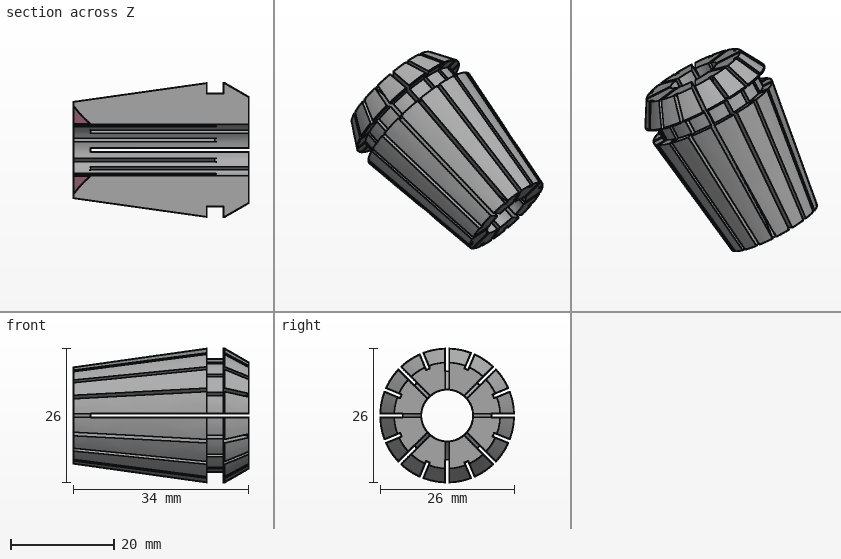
import cadquery as cq
import math

length = 34.0
max_radius = 13.0
bore_radius = 5.0

nose_taper_angle = 8.0
nose_taper_length = 25.87
groove_radius = 10.98
groove_width = 3.15
collar_land = 0.25
collar_cone_angle = 30.0

slot_width = 0.75
slots_per_end = 8
nose_bridge_radius = 8.6
nose_runout_length = length / 2
tail_bridge_radius = 9.72
tail_runout_length = length * 3 / 4

overrun = 3.4

collar_start = nose_taper_length + groove_width
cone_start = collar_start + collar_land
nose_radius = max_radius - nose_taper_length * math.tan(math.radians(nose_taper_angle))
tail_radius = max_radius - (length - cone_start) * math.tan(math.radians(collar_cone_angle))
slot_pitch = 360.0 / slots_per_end


def collet_blank():
    """Turned blank: nose taper, clamping groove, collar with a cone, through bore."""
    profile = [
        (0, bore_radius),
        (0, nose_radius),
        (nose_taper_length, max_radius),
        (nose_taper_length, groove_radius),
        (collar_start, groove_radius),
        (collar_start, max_radius),
        (cone_start, max_radius),
        (length, tail_radius),
        (length, bore_radius),
    ]
    return cq.Workplane("XY").polyline(profile).close().revolve(360, (0, 0, 0), (1, 0, 0))


def slot_cutter(closed_x, open_x, bridge_radius, runout_length):
    """Flat cutter for one slot in the +Y half of the XY plane, from its closed end to its open end."""
    direction = math.copysign(1, open_x - closed_x)
    past_closed_x = closed_x - direction * overrun
    past_open_x = open_x + direction * overrun
    past_surface = max_radius + overrun
    return (
        cq.Workplane("XY")
        .moveTo(past_open_x, 0)
        .lineTo(closed_x + direction * runout_length, 0)
        .tangentArcPoint((closed_x, bridge_radius), relative=False)
        .lineTo(past_closed_x, bridge_radius)
        .lineTo(past_closed_x, past_surface)
        .lineTo(past_open_x, past_surface)
        .close()
        .extrude(slot_width / 2, both=True)
    )


def cut_slot_ring(body, cutter, first_angle):
    """Cut equally spaced copies of a slot around the X axis."""
    for index in range(slots_per_end):
        angle = first_angle + index * slot_pitch
        body = body.cut(cutter.rotate((0, 0, 0), (1, 0, 0), angle))
    return body


tail_open_slot = slot_cutter(0, length, nose_bridge_radius, nose_runout_length)
nose_open_slot = slot_cutter(length, 0, tail_bridge_radius, tail_runout_length)

result = collet_blank()
result = cut_slot_ring(result, tail_open_slot, 0)
result = cut_slot_ring(result, nose_open_slot, slot_pitch / 2)